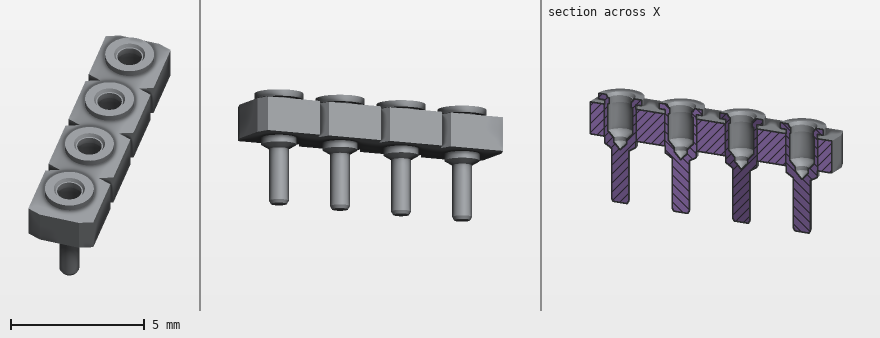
import cadquery as cq

PIN_COUNT = 4
LENGTH = 10.16
PITCH = LENGTH / PIN_COUNT
WIDTH = 2.54
NOTCH_DEPTH = 0.51
NOTCH_HALF_LENGTH = 0.19

FLANGE_BOTTOM = -0.24
HOUSING_TOP = -0.4
HOUSING_BOTTOM = -1.68
HOUSING_HEIGHT = HOUSING_TOP - HOUSING_BOTTOM
BARREL_BOTTOM = -1.93
SHOULDER_BOTTOM = -2.1
TAIL_CHAMFER_TOP = -4.06
TAIL_BOTTOM = -4.19

FLANGE_DIAMETER = 1.83
BARREL_DIAMETER = 1.32
TAIL_DIAMETER = 0.74
TAIL_TIP_DIAMETER = 0.6

MOUTH_DIAMETER = 1.16
BORE_DIAMETER = 1.02
LIP_DIAMETER = 0.91
PILOT_DIAMETER = 0.53
LIP_TOP = -0.12
LIP_BOTTOM = -0.38
BORE_BOTTOM = -1.42
PILOT_BOTTOM = -1.83
CONE_SLOPE = 1.0
BORE_CONE_DEPTH = CONE_SLOPE * (BORE_DIAMETER - PILOT_DIAMETER) / 2
PILOT_CONE_DEPTH = CONE_SLOPE * PILOT_DIAMETER / 2

PIN_POSITIONS = [(index + 0.5) * PITCH - LENGTH / 2 for index in range(PIN_COUNT)]


def make_housing():
    """Strip of one block per pin, narrowed at both ends of every block and bored for the pin barrels."""
    half_width = WIDTH / 2
    waist = half_width - NOTCH_DEPTH
    right_side = []
    for y in PIN_POSITIONS:
        block_start = y - PITCH / 2
        block_end = y + PITCH / 2
        right_side += [
            (waist, block_start),
            (half_width, block_start + NOTCH_HALF_LENGTH),
            (half_width, block_end - NOTCH_HALF_LENGTH),
        ]
    right_side.append((waist, LENGTH / 2))
    left_side = [(-x, y) for x, y in reversed(right_side)]

    base = cq.Workplane("XY", origin=(0, 0, HOUSING_BOTTOM))
    strip = base.polyline(right_side + left_side).close().extrude(HOUSING_HEIGHT)
    barrel_holes = (
        base.pushPoints([(0, y) for y in PIN_POSITIONS])
        .circle(BARREL_DIAMETER / 2)
        .extrude(HOUSING_HEIGHT)
    )
    return strip.cut(barrel_holes)


def make_pin(y):
    """Turned socket pin with its vertical axis at the given y."""
    outside = [
        (0, TAIL_BOTTOM),
        (TAIL_TIP_DIAMETER / 2, TAIL_BOTTOM),
        (TAIL_DIAMETER / 2, TAIL_CHAMFER_TOP),
        (TAIL_DIAMETER / 2, SHOULDER_BOTTOM),
        (BARREL_DIAMETER / 2, BARREL_BOTTOM),
        (BARREL_DIAMETER / 2, FLANGE_BOTTOM),
        (FLANGE_DIAMETER / 2, FLANGE_BOTTOM),
        (FLANGE_DIAMETER / 2, 0),
    ]
    socket = [
        (MOUTH_DIAMETER / 2, 0),
        (BORE_DIAMETER / 2, LIP_TOP),
        (LIP_DIAMETER / 2, LIP_TOP),
        (LIP_DIAMETER / 2, LIP_BOTTOM),
        (BORE_DIAMETER / 2, LIP_BOTTOM),
        (BORE_DIAMETER / 2, BORE_BOTTOM),
        (PILOT_DIAMETER / 2, BORE_BOTTOM - BORE_CONE_DEPTH),
        (PILOT_DIAMETER / 2, PILOT_BOTTOM),
        (0, PILOT_BOTTOM - PILOT_CONE_DEPTH),
    ]
    profile = cq.Workplane("XZ").polyline(outside + socket).close()
    return profile.revolve(360, (0, 0), (0, 1)).translate((0, y, 0))


housing = make_housing()
pins = [make_pin(y) for y in PIN_POSITIONS]
result = cq.Compound.makeCompound([housing.val(), *[pin.val() for pin in pins]])